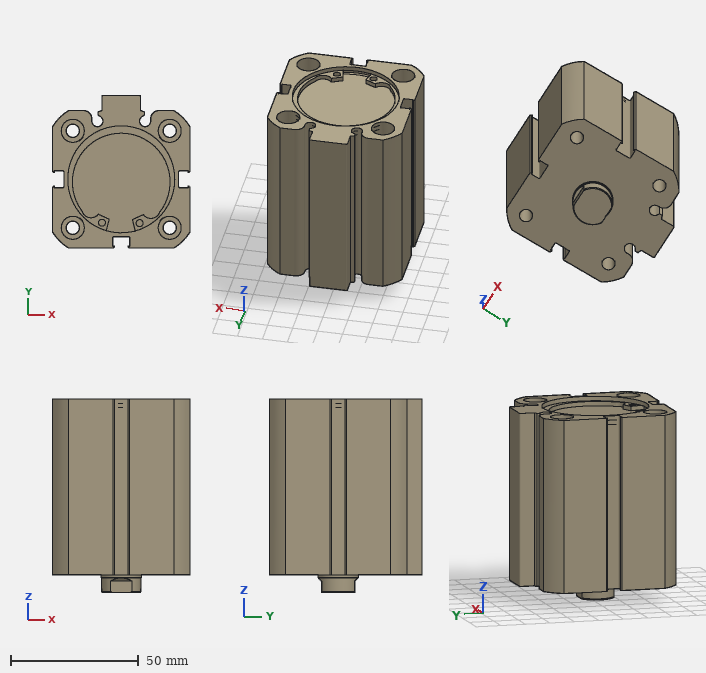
import cadquery as cq
import math


total_height = 76.0
rod_projection = 7.0
housing_height = total_height - rod_projection
housing_width = 54.0
half_width = housing_width / 2
corner_start = 20.6
corner_diagonal = 34.2
total_depth = 60.0
edge_overrun = 0.75

rail_half_width = 7.6
rail_top = total_depth - half_width
rail_edge_radius = 0.5

relief_radius = 2.1
relief_x = 9.35
relief_y = 22.8
relief_lip_x = 9.1
relief_lip_top = 26.45
relief_lip_bottom = 25.15
relief_lip_angle = math.radians(125)
relief_mouth_radius = 3.4

slot_half_width = 3.3
slot_depth = 4.5
slot_corner_radius = 0.4
slot_mouth_half_width = 2.65
slot_lip = 0.8
slot_mouth_chamfer = 0.5

mount_spacing = 38.0
mount_diameter = 5.1
mount_counterbore_diameter = 9.05
mount_counterbore_depth = 7.0

bore_radius = 21.0
groove_radius = 22.2
groove_top = housing_height - 1.75
ring_thickness = 1.75
groove_bottom = groove_top - ring_thickness
cap_thickness = 9.1
bore_floor = groove_bottom - cap_thickness

ring_opening_radius = 19.15
ring_opening_y = -1.1
lug_blend_end_x = 15.2
lug_blend_middle = (11.55, -15.2)
lug_shoulder = (8.8, -13.75)
lug_tip = (4.55, -15.7)
lug_gap_x = 5.6
lug_gap_y = -20.0
lug_hole = (7.4, -17.1)
lug_hole_radius = 1.4
ring_turn = -0.6

rod_radius = 8.0
rod_shoulder_drop = 1.0
nose_radius = 7.75
nose_chamfer_height = 0.5
nose_chamfer_inset = 0.3
flat_offset = 6.5


def relief_slot():
    """Slot on the +X side of the rail: round bottom, overhanging lip and rounded outer mouth."""
    above = half_width + edge_overrun
    lip_point = (
        relief_x + relief_radius * math.cos(relief_lip_angle),
        relief_y + relief_radius * math.sin(relief_lip_angle),
    )
    outer_wall = relief_x + relief_radius
    mouth_y = half_width - relief_mouth_radius
    mouth_x = outer_wall + relief_mouth_radius
    mouth_diagonal = relief_mouth_radius * math.sqrt(0.5)
    return (
        cq.Workplane("XY")
        .moveTo(rail_half_width, above)
        .lineTo(rail_half_width, half_width)
        .lineTo(relief_lip_x, relief_lip_top)
        .lineTo(relief_lip_x, relief_lip_bottom)
        .lineTo(*lip_point)
        .threePointArc((relief_x, relief_y - relief_radius), (outer_wall, relief_y))
        .lineTo(outer_wall, mouth_y)
        .threePointArc((mouth_x - mouth_diagonal, mouth_y + mouth_diagonal), (mouth_x, half_width))
        .lineTo(mouth_x, above)
        .close()
        .extrude(housing_height)
    )


def sensor_slot():
    """T-slot on the -Y side, with a chamfered mouth."""
    cavity_depth = slot_depth - slot_lip
    floor_y = -half_width + slot_depth
    cavity = (
        cq.Workplane("XY")
        .center(0, floor_y - cavity_depth / 2)
        .rect(2 * slot_half_width, cavity_depth)
        .extrude(housing_height)
        .edges("|Z and >Y")
        .fillet(slot_corner_radius)
    )
    chamfer_half_width = slot_mouth_half_width + slot_mouth_chamfer
    mouth = (
        cq.Workplane("XY")
        .polyline([
            (-chamfer_half_width, -half_width),
            (-slot_mouth_half_width, -half_width + slot_mouth_chamfer),
            (-slot_mouth_half_width, floor_y),
            (slot_mouth_half_width, floor_y),
            (slot_mouth_half_width, -half_width + slot_mouth_chamfer),
            (chamfer_half_width, -half_width),
        ])
        .close()
        .extrude(housing_height)
    )
    return cavity.union(mouth)


def turned(x, y, angle):
    """Point (x, y) turned about the cylinder axis."""
    return (
        x * math.cos(angle) - y * math.sin(angle),
        x * math.sin(angle) + y * math.cos(angle),
    )


def housing_blank():
    """Square prism with rounded corners and the port rail."""
    corner_middle = corner_diagonal * math.sqrt(0.5)
    outline = cq.Workplane("XY").moveTo(half_width, -corner_start)
    for turn in range(4):
        angle = turn * math.pi / 2
        outline = (
            outline.lineTo(*turned(half_width, corner_start, angle))
            .threePointArc(
                turned(corner_middle, corner_middle, angle),
                turned(corner_start, half_width, angle),
            )
        )
    body = outline.close().extrude(housing_height)
    rail = (
        cq.Workplane("XY")
        .center(0, rail_top / 2)
        .rect(2 * rail_half_width, rail_top)
        .extrude(housing_height)
        .edges("|Z and >Y")
        .fillet(rail_edge_radius)
    )
    return body.union(rail)


def make_housing():
    body = housing_blank()

    relief = relief_slot()
    body = body.cut(relief).cut(relief.mirror("YZ"))

    for turn in (-90, 0, 90):
        body = body.cut(sensor_slot().rotate((0, 0, 0), (0, 0, 1), turn))

    body = (
        body.faces(">Z")
        .workplane(origin=(0, 0, housing_height))
        .rect(mount_spacing, mount_spacing, forConstruction=True)
        .vertices()
        .cboreHole(mount_diameter, mount_counterbore_diameter, mount_counterbore_depth)
    )

    bore = cq.Workplane("XY").workplane(offset=bore_floor).circle(bore_radius)
    groove = cq.Workplane("XY").workplane(offset=groove_bottom).circle(groove_radius)
    rod_hole = cq.Workplane("XY").circle(rod_radius).extrude(bore_floor)
    return (
        body.cut(bore.extrude(housing_height - bore_floor))
        .cut(groove.extrude(ring_thickness))
        .cut(rod_hole)
    )


def make_end_cap():
    """Disc between the bore floor and the snap ring."""
    return cq.Workplane("XY").workplane(offset=bore_floor).circle(bore_radius).extrude(cap_thickness)


def make_snap_ring():
    """Ring that fills the groove, open between two drilled lugs on the -Y side."""
    blend_end_y = ring_opening_y - math.sqrt(ring_opening_radius**2 - lug_blend_end_x**2)
    outside_y = -groove_radius - edge_overrun

    def mirrored(point):
        return (-point[0], point[1])

    opening = (
        cq.Workplane("XY")
        .workplane(offset=groove_bottom)
        .moveTo(-lug_blend_end_x, blend_end_y)
        .threePointArc((0, ring_opening_y + ring_opening_radius), (lug_blend_end_x, blend_end_y))
        .threePointArc(lug_blend_middle, lug_shoulder)
        .lineTo(*lug_tip)
        .lineTo(lug_gap_x, lug_gap_y)
        .lineTo(lug_gap_x, outside_y)
        .lineTo(-lug_gap_x, outside_y)
        .lineTo(-lug_gap_x, lug_gap_y)
        .lineTo(*mirrored(lug_tip))
        .lineTo(*mirrored(lug_shoulder))
        .threePointArc(mirrored(lug_blend_middle), (-lug_blend_end_x, blend_end_y))
        .close()
        .extrude(ring_thickness)
    )
    lug_holes = (
        cq.Workplane("XY")
        .workplane(offset=groove_bottom)
        .pushPoints([lug_hole, mirrored(lug_hole)])
        .circle(lug_hole_radius)
        .extrude(ring_thickness)
    )
    disc = cq.Workplane("XY").workplane(offset=groove_bottom).circle(groove_radius).extrude(ring_thickness)
    return disc.cut(opening).cut(lug_holes).rotate((0, 0, 0), (0, 0, 1), ring_turn)


def make_rod():
    """Round rod with a reduced nose and two wrench flats that run out at 45 degrees."""
    nose_top = -rod_shoulder_drop - (rod_radius - nose_radius)
    rod = (
        cq.Workplane("XZ")
        .polyline([
            (0, bore_floor),
            (rod_radius, bore_floor),
            (rod_radius, -rod_shoulder_drop),
            (nose_radius, nose_top),
            (nose_radius, -rod_projection + nose_chamfer_height),
            (nose_radius - nose_chamfer_inset, -rod_projection),
            (0, -rod_projection),
        ])
        .close()
        .revolve(360, (0, 0, 0), (0, 1, 0))
    )
    flat_top = nose_top - (nose_radius - flat_offset)
    flat_cut = (
        cq.Workplane("YZ")
        .polyline([
            (flat_offset, -rod_projection),
            (flat_offset, flat_top),
            (rod_radius, -rod_shoulder_drop),
            (rod_radius, -rod_projection),
        ])
        .close()
        .extrude(rod_radius, both=True)
    )
    return rod.cut(flat_cut).cut(flat_cut.mirror("XZ"))


housing = make_housing()
end_cap = make_end_cap()
snap_ring = make_snap_ring()
rod = make_rod()

result = cq.Compound.makeCompound([housing.val(), end_cap.val(), snap_ring.val(), rod.val()])